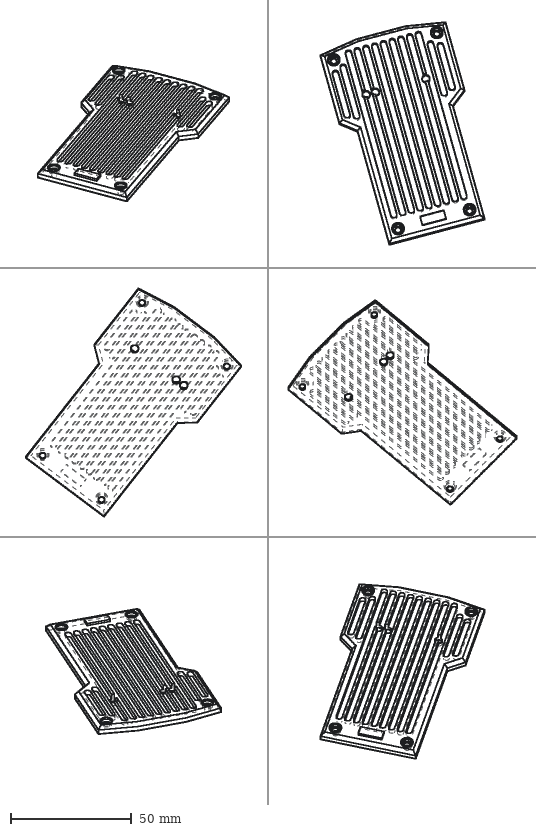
import cadquery as cq

plate_length = 87.6
head_width = 53.6
tail_width = 40.8
tail_top_y = 49.9
shoulder_top_y = 54.95
head_corner_y = 84.9
back_flat_width = 21.0

overall_height = 4.5
plate_thickness = 3.5
edge_chamfer = 1.5

groove_width = 2.5
groove_depth = 2.0
groove_span = 45.0
groove_middle_x = -0.4
long_groove_y = (9.8, 83.7)
short_groove_y = (54.4, 78.5)
outer_groove_y = (55.9, 76.8)
long_groove_reach = 4
outermost_groove = long_groove_reach + 2
groove_pitch = groove_span / (2 * outermost_groove)

screw_diameter = 2.5
counterbore_diameter = 4.1
counterbore_depth = 1.75
rim_diameter = 5.1
head_screw_x = 22.1
head_screw_y = 81.2
tail_screw_x = 15.3
tail_screw_y = 4.9

cable_hole_diameter = 3.15
cable_hole_y = 64.0
cable_hole_xs = (-12.9, -8.9, 12.7)

pad_length = 10.2
pad_width = 3.8
pad_center = (-0.2, 5.4)


def make_plate():
    right_side = [
        (tail_width / 2, 0),
        (tail_width / 2, tail_top_y),
        (head_width / 2, shoulder_top_y),
        (head_width / 2, head_corner_y),
        (back_flat_width / 2, plate_length),
    ]
    left_side = [(-x, y) for x, y in reversed(right_side)]
    plate = cq.Workplane("XY").polyline(right_side + left_side).close().extrude(plate_thickness)
    return plate.faces(">Z").chamfer(edge_chamfer)


def groove(x, y_range):
    """Round-ended groove cutter running along Y."""
    start, end = y_range
    return (
        cq.Workplane("XY", origin=(x, (start + end) / 2, plate_thickness - groove_depth))
        .slot2D(end - start, groove_width, 90)
        .extrude(groove_depth)
    )


def cut_grooves(body):
    for step in range(-outermost_groove, outermost_groove + 1):
        if abs(step) <= long_groove_reach:
            y_range = long_groove_y
        elif abs(step) < outermost_groove:
            y_range = short_groove_y
        else:
            y_range = outer_groove_y
        body = body.cut(groove(groove_middle_x + step * groove_pitch, y_range))
    return body


def cut_screw_holes(body):
    screw_points = [
        (side * x, y)
        for x, y in ((head_screw_x, head_screw_y), (tail_screw_x, tail_screw_y))
        for side in (-1, 1)
    ]
    rim_depth = (rim_diameter - counterbore_diameter) / 2
    floor_z = plate_thickness - counterbore_depth
    profile = [
        (0, 0),
        (screw_diameter / 2, 0),
        (screw_diameter / 2, floor_z),
        (counterbore_diameter / 2, floor_z),
        (counterbore_diameter / 2, plate_thickness - rim_depth),
        (rim_diameter / 2, plate_thickness),
        (0, plate_thickness),
    ]
    cutter = cq.Workplane("XZ").polyline(profile).close().revolve(360, (0, 0, 0), (0, 1, 0))
    for x, y in screw_points:
        body = body.cut(cutter.translate((x, y, 0)))
    return body


def cut_cable_holes(body):
    holes = (
        cq.Workplane("XY")
        .pushPoints([(x, cable_hole_y) for x in cable_hole_xs])
        .circle(cable_hole_diameter / 2)
        .extrude(plate_thickness)
    )
    return body.cut(holes)


def add_pad(body):
    pad = (
        cq.Workplane("XY", origin=(*pad_center, 0))
        .rect(pad_length, pad_width)
        .extrude(overall_height)
    )
    return body.union(pad)


plate = make_plate()
plate = cut_grooves(plate)
plate = cut_screw_holes(plate)
plate = cut_cable_holes(plate)
result = add_pad(plate)